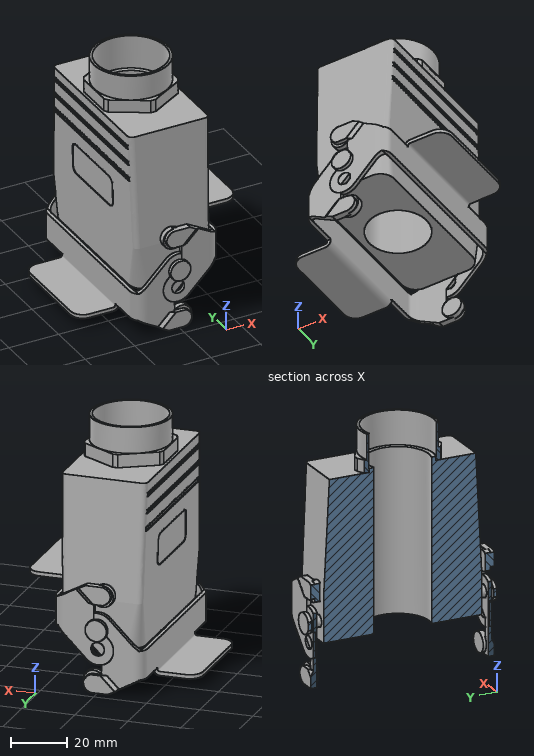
import cadquery as cq
import math


TOTAL_HEIGHT = 93.4

HOOD_BOTTOM_Z = 16.4
HOOD_TOP_Z = 78.6
HOOD_SEAM_Z = 33.6
HOOD_TOP_HALF_X = 16.2
HOOD_BOTTOM_HALF_X = 14.85
HOOD_TOP_HALF_Y = 29.1
HOOD_BOTTOM_HALF_Y = 31.5
UPPER_CORNER_RADIUS = 2.0
BOTTOM_CORNER_RADIUS = 5.6
CABLE_BORE_DIA = 24.0
NECK_HEIGHT = 1.5

GROOVE_COUNT = 3
GROOVE_HEIGHT = 1.5
GROOVE_PITCH = 6.4
FIRST_GROOVE_TOP_Z = 74.7
GROOVE_FLOOR_X = 15.4

LABEL_WIDTH = 30.0
LABEL_HEIGHT = 12.05
LABEL_CENTER_Z = 48.5
LABEL_CORNER_RADIUS = 2.4
LABEL_FLOOR_X = 15.2

TUBE_OUTER_DIA = 29.6
TUBE_BORE_DIA = 27.55
HEX_ACROSS_FLATS = 30.0
HEX_CORNER_CHAMFER = 1.1
HEX_HEIGHT = 4.95

PIVOT_Z = 23.9
PIN_DIA = 4.7
PIN_HEAD_DIA = 8.0
PIN_HEAD_THICKNESS = 1.5
PIN_TO_PIN_LENGTH = 75.0
PIN_ROOT_DEPTH = 1.9

SHEET = 1.6
LEVER_HALF_X = 17.1
LEVER_HALF_Y = 35.5
LEVER_BEND_RADIUS = 4.7
PIVOT_SPACING = 7.6
EYE_RADIUS = 6.0
EYE_HOLE_DIA = 5.0
STRAP_TOP = -6.9
STRAP_BOTTOM = -17.8
ARM_EDGE_X = -1.4

HOOK_TOP = -17.1
HOOK_BOTTOM = -PIVOT_Z
HOOK_ROUND_X = 1.7
HOOK_CORNER_X = -4.3
HOOK_OFFSET = 1.0
HOOK_RAMP_RUN = 2.1
KNOB_DIA = 8.0
KNOB_INNER_Y = 32.7
KNOB_OUTER_Y = 34.9

TAB_END_X = -32.5
TAB_WIDTH = 40.1
TAB_BOTTOM = -20.6
TAB_CORNER_RADIUS = 5.0
TAB_INNER_BEND_RADIUS = 0.8

PIN_END_Y = PIN_TO_PIN_LENGTH / 2
PIVOT_MID_Z = PIVOT_Z - PIVOT_SPACING / 2
STRAP_INNER_X = SHEET - LEVER_HALF_X
ARM_INNER_Y = LEVER_HALF_Y - SHEET
RAMP_TOP_X = ARM_EDGE_X - HOOK_RAMP_RUN


def hood_half_x(z):
    """Half width of the hood, which narrows evenly toward its bottom."""
    share = (z - HOOD_BOTTOM_Z) / (HOOD_TOP_Z - HOOD_BOTTOM_Z)
    return HOOD_BOTTOM_HALF_X + share * (HOOD_TOP_HALF_X - HOOD_BOTTOM_HALF_X)


def hood_half_y(z):
    """Half length of the hood above the seam, where it narrows toward the top."""
    share = (z - HOOD_SEAM_Z) / (HOOD_TOP_Z - HOOD_SEAM_Z)
    return HOOD_BOTTOM_HALF_Y + share * (HOOD_TOP_HALF_Y - HOOD_BOTTOM_HALF_Y)


def box(x_range, y_range, z_range):
    size = [high - low for low, high in (x_range, y_range, z_range)]
    return cq.Workplane("XY").box(*size, centered=False).translate(
        (x_range[0], y_range[0], z_range[0])
    )


def cylinder_z(diameter, z_bottom, z_top):
    return cq.Workplane("XY").workplane(offset=z_bottom).circle(diameter / 2).extrude(z_top - z_bottom)


def rounded_rectangle(half_x, half_y, radius, z):
    sketch = cq.Sketch().rect(2 * half_x, 2 * half_y).vertices().fillet(radius)
    return cq.Workplane("XY").workplane(offset=z).placeSketch(sketch)


def between_y(outline, y_low, y_high):
    """Extrude a closed XZ outline from y_low to y_high."""
    return outline.extrude(y_low - y_high).translate((0, y_low, 0))


def both_ends(shape):
    """The shape joined with its mirror image on the other Y end."""
    return shape.union(shape.mirror("XZ"))


def tapered_block(bottom, top):
    """Straight-sided block between two sections, each given as height, half length and corner radius."""
    sections = [
        cq.Sketch().rect(2 * hood_half_x(z), 2 * half_y).vertices().fillet(radius).moved(z=z)
        for z, half_y, radius in (bottom, top)
    ]
    return cq.Workplane("XY").placeSketch(*sections).loft(ruled=True)


def make_grooves():
    grooves = cq.Workplane("XY")
    for index in range(GROOVE_COUNT):
        z_top = FIRST_GROOVE_TOP_Z - index * GROOVE_PITCH
        z_bottom = z_top - GROOVE_HEIGHT
        half_y = hood_half_y(z_top) - UPPER_CORNER_RADIUS
        for x_range in ((-HOOD_TOP_HALF_X, -GROOVE_FLOOR_X), (GROOVE_FLOOR_X, HOOD_TOP_HALF_X)):
            grooves = grooves.union(box(x_range, (-half_y, half_y), (z_bottom, z_top)))
    return grooves


def make_label_recess():
    recess = box(
        (-HOOD_TOP_HALF_X, -LABEL_FLOOR_X),
        (-LABEL_WIDTH / 2, LABEL_WIDTH / 2),
        (LABEL_CENTER_Z - LABEL_HEIGHT / 2, LABEL_CENTER_Z + LABEL_HEIGHT / 2),
    )
    return recess.edges("|X").fillet(LABEL_CORNER_RADIUS)


def make_pin():
    center = cq.Workplane("XZ").center(0, PIVOT_Z)
    shank = between_y(center.circle(PIN_DIA / 2), HOOD_BOTTOM_HALF_Y - PIN_ROOT_DEPTH, PIN_END_Y)
    head = between_y(center.circle(PIN_HEAD_DIA / 2), PIN_END_Y - PIN_HEAD_THICKNESS, PIN_END_Y)
    return shank.union(head)


def make_hood():
    bottom = (HOOD_BOTTOM_Z, HOOD_BOTTOM_HALF_Y, BOTTOM_CORNER_RADIUS)
    seam = (HOOD_SEAM_Z, HOOD_BOTTOM_HALF_Y, UPPER_CORNER_RADIUS)
    top = (HOOD_TOP_Z, HOOD_TOP_HALF_Y, UPPER_CORNER_RADIUS)
    lower = tapered_block(bottom, seam)
    upper = tapered_block(seam, top)
    neck = cylinder_z(TUBE_BORE_DIA, HOOD_TOP_Z, HOOD_TOP_Z + NECK_HEIGHT)
    bore = cylinder_z(CABLE_BORE_DIA, HOOD_BOTTOM_Z, HOOD_TOP_Z + NECK_HEIGHT)
    shell = lower.union(upper).cut(make_grooves()).cut(make_label_recess())
    return shell.union(neck).cut(bore).union(both_ends(make_pin()))


def make_gland():
    corner_dia = HEX_ACROSS_FLATS / math.cos(math.pi / 6)
    hexagon = cq.Workplane("XY").polygon(6, corner_dia).extrude(HEX_HEIGHT)
    hexagon = hexagon.edges("|Z").chamfer(HEX_CORNER_CHAMFER)
    hexagon = hexagon.rotate((0, 0, 0), (0, 0, 1), 30).translate((0, 0, HOOD_TOP_Z))
    tube = cylinder_z(TUBE_OUTER_DIA, HOOD_TOP_Z, TOTAL_HEIGHT)
    return hexagon.union(tube).cut(cylinder_z(TUBE_BORE_DIA, HOOD_TOP_Z, TOTAL_HEIGHT))


def ramp_foot():
    """Point where the 45 degree foot of the hook's ramp meets the sloping lower edge of the arm."""
    slope = (HOOK_BOTTOM - STRAP_BOTTOM) / (HOOK_CORNER_X - STRAP_INNER_X)
    x = (STRAP_BOTTOM - slope * STRAP_INNER_X - HOOK_TOP + RAMP_TOP_X) / (1 - slope)
    return x, HOOK_TOP + x - RAMP_TOP_X


def arm_outline():
    """Side outline of a lever without its hook and tab; the pivot is the origin."""
    tangent = EYE_RADIUS * math.sqrt(0.5)
    return (
        cq.Workplane("XZ")
        .moveTo(-LEVER_HALF_X, STRAP_TOP)
        .lineTo(STRAP_TOP - 2 * tangent, STRAP_TOP)
        .lineTo(-tangent, tangent)
        .threePointArc((tangent, tangent), (tangent, -tangent))
        .lineTo(ARM_EDGE_X, ARM_EDGE_X - 2 * tangent)
        .lineTo(ARM_EDGE_X, HOOK_TOP)
        .lineTo(RAMP_TOP_X, HOOK_TOP)
        .lineTo(*ramp_foot())
        .lineTo(STRAP_INNER_X, STRAP_BOTTOM)
        .lineTo(-LEVER_HALF_X, STRAP_BOTTOM)
        .close()
    )


def make_bail():
    """Strap and both arms: an upright sheet loop trimmed to the side outline."""
    height = EYE_RADIUS - HOOK_BOTTOM
    inner_radius = LEVER_BEND_RADIUS - SHEET
    outside = rounded_rectangle(LEVER_HALF_X, LEVER_HALF_Y, LEVER_BEND_RADIUS, HOOK_BOTTOM).extrude(height)
    inside = rounded_rectangle(-STRAP_INNER_X, ARM_INNER_Y, inner_radius, HOOK_BOTTOM).extrude(height)
    return outside.cut(inside).intersect(between_y(arm_outline(), -LEVER_HALF_Y, LEVER_HALF_Y))


def make_hook():
    """Hook of the arm at +Y, with its knob on the inner face."""
    round_radius = (HOOK_TOP - HOOK_BOTTOM) / 2
    outline = (
        cq.Workplane("XZ")
        .moveTo(RAMP_TOP_X, HOOK_TOP)
        .lineTo(HOOK_ROUND_X, HOOK_TOP)
        .threePointArc((HOOK_ROUND_X + round_radius, HOOK_TOP - round_radius), (HOOK_ROUND_X, HOOK_BOTTOM))
        .lineTo(HOOK_CORNER_X, HOOK_BOTTOM)
        .lineTo(*ramp_foot())
        .close()
    )
    blank = between_y(outline, ARM_INNER_Y, LEVER_HALF_Y + HOOK_OFFSET)

    ramp_width = HOOK_RAMP_RUN * math.sqrt(0.5)
    reach = 2 * (HOOK_TOP - HOOK_BOTTOM)
    across_ramp = cq.Plane(origin=(RAMP_TOP_X, 0, HOOK_TOP), xDir=(1, 0, -1), normal=(1, 0, 1))
    stepped_slab = (
        cq.Workplane(across_ramp)
        .polyline([
            (0, ARM_INNER_Y),
            (reach, ARM_INNER_Y),
            (reach, LEVER_HALF_Y + HOOK_OFFSET),
            (ramp_width, LEVER_HALF_Y + HOOK_OFFSET),
            (0, LEVER_HALF_Y),
        ])
        .close()
        .extrude(reach, both=True)
    )
    knob_outline = cq.Workplane("XZ").center(HOOK_ROUND_X, HOOK_BOTTOM + KNOB_DIA / 2).circle(KNOB_DIA / 2)
    knob = between_y(knob_outline, KNOB_INNER_Y, KNOB_OUTER_Y)
    return blank.intersect(stepped_slab).union(knob)


def make_tab():
    outer_bend_radius = TAB_INNER_BEND_RADIUS + SHEET
    top = TAB_BOTTOM + SHEET
    tab = (
        cq.Workplane("XZ")
        .moveTo(-LEVER_HALF_X, STRAP_BOTTOM)
        .lineTo(-LEVER_HALF_X, top + TAB_INNER_BEND_RADIUS)
        .radiusArc((-LEVER_HALF_X - TAB_INNER_BEND_RADIUS, top), TAB_INNER_BEND_RADIUS)
        .lineTo(TAB_END_X, top)
        .lineTo(TAB_END_X, TAB_BOTTOM)
        .lineTo(STRAP_INNER_X - outer_bend_radius, TAB_BOTTOM)
        .radiusArc((STRAP_INNER_X, TAB_BOTTOM + outer_bend_radius), -outer_bend_radius)
        .lineTo(STRAP_INNER_X, STRAP_BOTTOM)
        .close()
    )
    tab = between_y(tab, -TAB_WIDTH / 2, TAB_WIDTH / 2)
    return tab.edges("|Z and <X").fillet(TAB_CORNER_RADIUS)


def eye_hole():
    return between_y(cq.Workplane("XZ").circle(EYE_HOLE_DIA / 2), -PIN_END_Y, PIN_END_Y)


def lower_place(shape):
    return shape.translate((0, 0, PIVOT_Z))


def upper_place(shape):
    """Half a turn about the Y line midway between the two pivot eyes."""
    middle = (0, 0, PIVOT_MID_Z)
    return lower_place(shape).rotate(middle, (0, 1, PIVOT_MID_Z), 180)


def make_lever(place, other_place, lap_low, lap_high):
    """One lever; where the other lever crosses it, its sheet is cut away from lap_low to lap_high."""
    lever = place(make_bail().union(make_tab()).union(both_ends(make_hook())).cut(eye_hole()))
    crossing = other_place(both_ends(between_y(arm_outline(), lap_low, lap_high)).cut(eye_hole()))
    return lever.cut(crossing).cut(lower_place(eye_hole()))


hood = make_hood()
gland = make_gland()

LAP_Y = LEVER_HALF_Y - SHEET / 2
levers = [
    make_lever(place, other_place, lap_low, lap_high)
    for place, other_place, lap_low, lap_high in (
        (lower_place, upper_place, LAP_Y, LEVER_HALF_Y),
        (upper_place, lower_place, ARM_INNER_Y, LAP_Y),
    )
]

result = cq.Compound.makeCompound([hood.val(), gland.val(), *[lever.val() for lever in levers]])